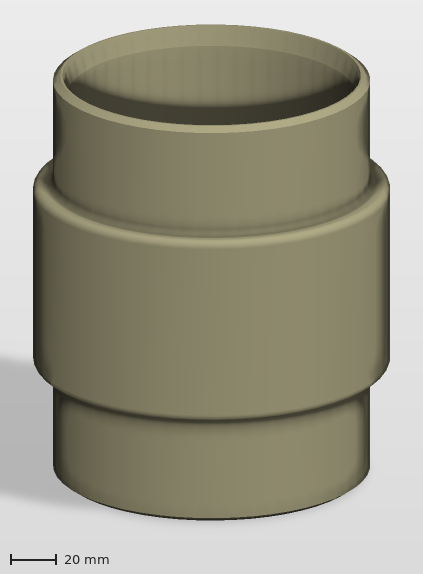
import cadquery as cq

length = 184.0
pipe_diameter = 139.5
collar_diameter = 157.1
collar_length = 84.3
bore_diameter = 126.8

collar_edge_radius = 3.3
collar_root_radius = 2.8
end_chamfer_width = 3.1
end_chamfer_height = 2.2
lead_in_width = 2.2
lead_in_depth = 8.8


def make_turned_core(middle_radius, end_radius, taper_height):
    """Full-length solid of revolution whose radius changes in a cone at both ends."""
    end_height = length / 2
    taper_start = end_height - taper_height
    half_section = [
        (0, -end_height),
        (end_radius, -end_height),
        (middle_radius, -taper_start),
        (middle_radius, taper_start),
        (end_radius, end_height),
        (0, end_height),
    ]
    return cq.Workplane("XZ").polyline(half_section).close().revolve(360, (0, 0), (0, 1))


def round_collar(body):
    """Fillet the concave roots, then the outer edges, of both collar shoulders."""
    around_collar = cq.selectors.BoxSelector(
        (-collar_diameter, -collar_diameter, -collar_length / 2 - collar_root_radius),
        (collar_diameter, collar_diameter, collar_length / 2 + collar_root_radius),
    )
    smallest_radius = cq.selectors.RadiusNthSelector(0)
    largest_radius = cq.selectors.RadiusNthSelector(-1)
    roots = body.edges("%CIRCLE").edges(around_collar).edges(smallest_radius)
    body = roots.fillet(collar_root_radius)
    return body.edges("%CIRCLE").edges(largest_radius).fillet(collar_edge_radius)


pipe_radius = pipe_diameter / 2
pipe = make_turned_core(pipe_radius, pipe_radius - end_chamfer_width, end_chamfer_height)

collar = cq.Workplane("XY").circle(collar_diameter / 2).extrude(collar_length / 2, both=True)

bore_radius = bore_diameter / 2
bore = make_turned_core(bore_radius, bore_radius + lead_in_width, lead_in_depth)

result = round_collar(pipe.union(collar)).cut(bore)